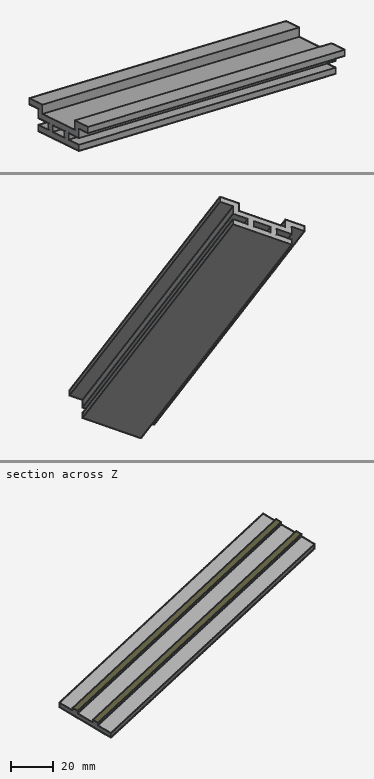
import cadquery as cq

length = 152.4
overall_width = 44.5
overall_height = 14.5

channel_width = 24.4
body_width = 30.8
flange_thickness = 3.2
floor_thickness = 3.2
base_thickness = 3.2
floor_top = 9.8
rib_thickness = 3.2
rib_gap = 8.8

floor_bottom = floor_top - floor_thickness
flange_bottom = overall_height - flange_thickness


def bar(width, bottom, top, center_x=0):
    """Full-length rectangular bar, centered on Y."""
    height = top - bottom
    return (
        cq.Workplane("XY")
        .box(width, length, height)
        .translate((center_x, 0, bottom + height / 2))
    )


result = bar(overall_width, flange_bottom, overall_height)
result = result.union(bar(body_width, floor_bottom, flange_bottom))
result = result.cut(bar(channel_width, floor_top, overall_height))

result = result.union(bar(body_width, 0, base_thickness))
rib_offset = (rib_gap + rib_thickness) / 2
for side in (-1, 1):
    rib = bar(rib_thickness, base_thickness, floor_bottom, side * rib_offset)
    result = result.union(rib)